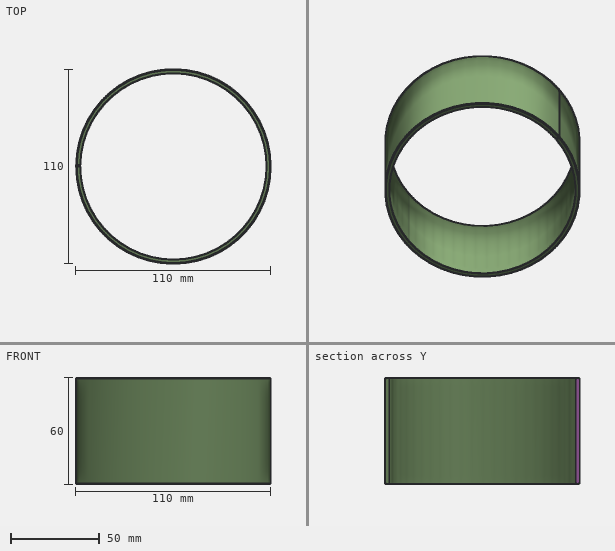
import cadquery as cq

outer_diameter = 110.0
wall_thickness = 2.5
height = 60.0
slit_width = 0.8
outer_chamfer = 0.5
inner_chamfer = 0.2

outer_radius = outer_diameter / 2
inner_radius = outer_radius - wall_thickness


def make_sleeve():
    """Tube standing on Z = 0; the inner rims have a smaller chamfer than the outer rims."""
    bar = cq.Workplane("XY").circle(outer_radius).extrude(height)
    bar = bar.faces("<Z or >Z").edges().chamfer(outer_chamfer)
    bore = cq.Workplane("XY").circle(inner_radius).extrude(height)
    tube = bar.cut(bore)
    bore_rims = cq.selectors.RadiusNthSelector(0)
    return tube.edges("%CIRCLE").edges(bore_rims).chamfer(inner_chamfer)


def make_slit_cutter():
    """Full-height block across the -X wall, with one face on the plane through the axis."""
    return cq.Workplane("XY").box(
        outer_radius, slit_width, height, centered=(False, False, False)
    ).translate((-outer_radius, 0, 0))


result = make_sleeve().cut(make_slit_cutter())